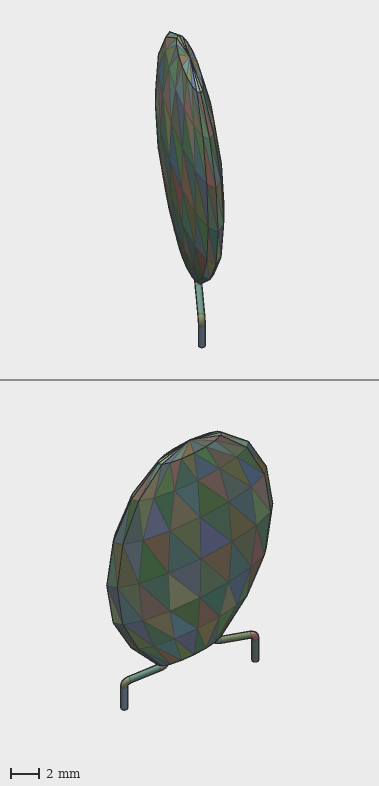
import cadquery as cq
import math

total_height = 28.05

body_width = 13.97
body_depth = 3.0
body_half_height = 12.05
ring_corners = 16
rings = 7

wire_radius = 0.25
bend_radius = 0.5
arm_slope = math.radians(10)
lead_top_x = 2.05
foot_x = 5.1
foot_y = 0.65
lead_height = total_height - 2 * body_half_height


def ring(number):
    """Corners of one ring, counted from the tip; the last ring is lowered to form the base."""
    polar = math.pi * number / (rings + 1)
    ring_z = -body_half_height if number == rings else body_half_height * math.cos(polar)
    corners = []
    for step in range(ring_corners):
        turn = 2 * math.pi * step / ring_corners
        corners.append(cq.Vector(
            body_width / 2 * math.sin(polar) * math.cos(turn),
            body_depth / 2 * math.sin(polar) * math.sin(turn),
            ring_z,
        ))
    return corners


def flat_face(*corners):
    return cq.Face.makeFromWires(cq.Wire.makePolygon(corners, close=True))


def make_body():
    tip = cq.Vector(0, 0, body_half_height)
    corner_rings = [ring(number) for number in range(1, rings + 1)]
    faces = []

    first = corner_rings[0]
    for step in range(ring_corners):
        following = (step + 1) % ring_corners
        faces.append(flat_face(tip, first[step], first[following]))

    for upper, lower in zip(corner_rings, corner_rings[1:]):
        for step in range(ring_corners):
            following = (step + 1) % ring_corners
            faces.append(flat_face(upper[step], lower[step], lower[following]))
            faces.append(flat_face(upper[step], lower[following], upper[following]))

    faces.append(flat_face(*reversed(corner_rings[-1])))
    return cq.Solid.makeSolid(cq.Shell.makeShell(faces))


def make_lead(side_angle):
    """One lead from the base of the body to its foot, turned about Z by side_angle degrees."""
    reach_x = foot_x - lead_top_x
    reach = math.hypot(reach_x, foot_y)
    bend_angle = math.pi / 2 - arm_slope
    bend_run = bend_radius * (1 - math.cos(bend_angle))
    bend_fall = bend_radius * math.sin(bend_angle)
    half_run = bend_radius * (1 - math.cos(bend_angle / 2))
    half_fall = bend_radius * math.sin(bend_angle / 2)
    arm_fall = (reach - 2 * bend_run) * math.tan(arm_slope)
    foot_bend_bottom = -2 * bend_fall - arm_fall

    lead_plane = cq.Plane(
        origin=(lead_top_x, 0, -body_half_height),
        xDir=(reach_x, -foot_y, 0),
        normal=(-foot_y, -reach_x, 0),
    )
    centre_line = (
        cq.Workplane(lead_plane)
        .threePointArc((half_run, -half_fall), (bend_run, -bend_fall))
        .lineTo(reach - bend_run, -bend_fall - arm_fall)
        .threePointArc((reach - half_run, foot_bend_bottom + half_fall), (reach, foot_bend_bottom))
        .lineTo(reach, -lead_height)
    )
    lead = (
        cq.Workplane("XY", origin=(lead_top_x, 0, -body_half_height))
        .circle(wire_radius)
        .sweep(centre_line)
    )
    return lead.rotate((0, 0, 0), (0, 0, 1), side_angle)


body = make_body()
leads = [make_lead(side_angle).val() for side_angle in (0, 180)]

result = cq.Compound.makeCompound([body, *leads])